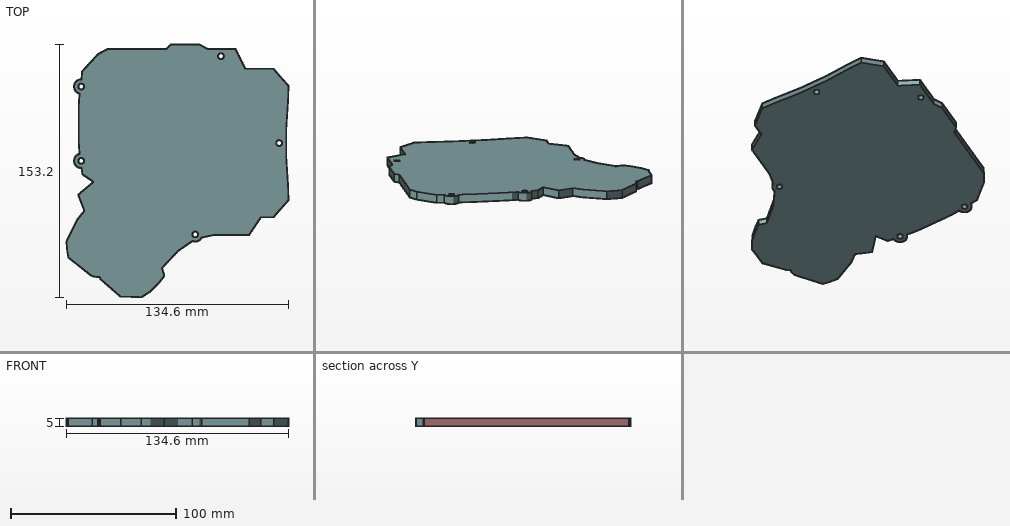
import cadquery as cq

PLATE_LENGTH_X = 134.56
PLATE_LENGTH_Y = 153.16
THICKNESS = 5.0

HOLE_DIAMETER = 3.4
LOBE_RADIUS = 4.4

LEFT_HOLE_X = 9.0
LEFT_HOLE_SPACING = 45.0
LEFT_MID_Y = 105.1
UPPER_LEFT_HOLE = (LEFT_HOLE_X, LEFT_MID_Y + LEFT_HOLE_SPACING / 2)
LOWER_LEFT_HOLE = (LEFT_HOLE_X, LEFT_MID_Y - LEFT_HOLE_SPACING / 2)

RIGHT_MID_Y = 93.4
TOP_HOLE = (93.6, 146.0)
RIGHT_HOLE = (128.8, RIGHT_MID_Y)
BOTTOM_HOLE = (78.0, 38.1)

LOBED_HOLES = [UPPER_LEFT_HOLE, LOWER_LEFT_HOLE, BOTTOM_HOLE]
ALL_HOLES = LOBED_HOLES + [TOP_HOLE, RIGHT_HOLE]

TOP_EDGE_Y = 150.4
LOWER_EDGE_Y = 37.7

LEFT_FLANK = [(7.4, 8.8), (7.6, 14.3), (8.0, 18.2)]
RIGHT_FLANK = [(133.2, 9.2), (134.3, 26.0), (PLATE_LENGTH_X, 34.6), (129.0, 40.8), (125.4, 45.0)]


def mirrored_flank(half_flank, mid_y):
    """Full flank from its upper end to its lower end."""
    upper = [(x, mid_y + offset) for x, offset in reversed(half_flank)]
    lower = [(x, mid_y - offset) for x, offset in half_flank]
    return upper + lower


def top_points():
    """Top edge with its raised step, from the upper-left lobe to the right shoulder."""
    shoulder_y = RIGHT_MID_Y + RIGHT_FLANK[-1][1]
    return [
        (9.1, 132.0),
        (9.5, 136.7),
        (19.2, 147.3),
        (25.0, TOP_EDGE_Y),
        (60.6, TOP_EDGE_Y),
        (63.3, PLATE_LENGTH_Y),
        (80.4, PLATE_LENGTH_Y),
        (85.5, TOP_EDGE_Y),
        (102.4, TOP_EDGE_Y),
        (108.4, shoulder_y),
    ]


def lower_edge_points():
    """Lower right edge, from the right shoulder past the bottom lobe to the tail."""
    shoulder_y = RIGHT_MID_Y - RIGHT_FLANK[-1][1]
    return [
        (117.8, shoulder_y),
        (110.6, LOWER_EDGE_Y),
        (89.6, LOWER_EDGE_Y),
        (81.8, 36.1),
        (76.3, 34.0),
        (67.7, 28.1),
    ]


def tail_points():
    """Tail that reaches down and left, from its right root to its left root."""
    right_side = [(58.0, 17.8), (59.4, 12.9), (56.0, 8.7), (50.9, 3.5)]
    tip = [(45.4, 0), (41.3, 0.2), (32.9, 0.3)]
    notch = [(20.6, 11.0), (20.0, 12.5), (19.0, 12.1), (15.8, 12.7), (14.8, 13.3)]
    left_side = [(1.2, 24.1), (0.5, 27.9), (0, 33.8), (6.7, 47.3)]
    return right_side + tip + notch + left_side


def left_root_points():
    """Zigzag between the tail and the lower-left lobe."""
    return [(10.4, 51.7), (10.8, 52.6), (7.1, 62.1), (16.4, 69.9), (9.7, 74.4), (9.1, 78.6)]


def plate_body():
    left_flank_upwards = list(reversed(mirrored_flank(LEFT_FLANK, LEFT_MID_Y)))
    outline = (
        top_points()
        + mirrored_flank(RIGHT_FLANK, RIGHT_MID_Y)
        + lower_edge_points()
        + tail_points()
        + left_root_points()
        + left_flank_upwards
    )
    return cq.Workplane("XY").polyline(outline).close().extrude(THICKNESS)


def cylinders(centers, radius):
    """Upright cylinders through the full thickness."""
    return cq.Workplane("XY").pushPoints(centers).circle(radius).extrude(THICKNESS)


lobes = cylinders(LOBED_HOLES, LOBE_RADIUS)
holes = cylinders(ALL_HOLES, HOLE_DIAMETER / 2)
result = plate_body().union(lobes).cut(holes)